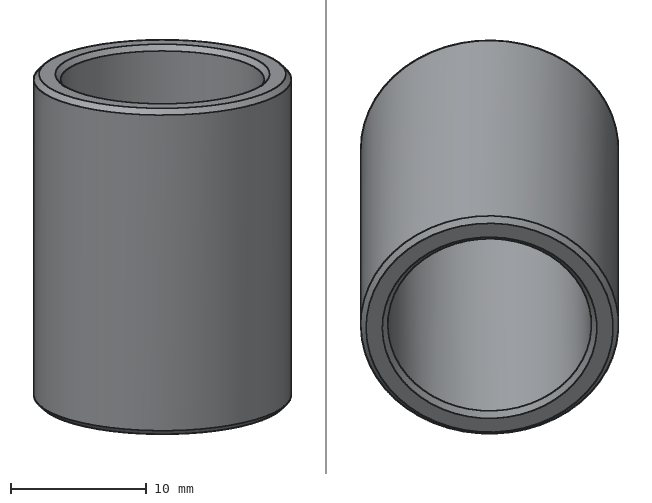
import cadquery as cq

length = 25
outer_diameter = 19
bore_diameter = 15
chamfer = 0.4

sleeve = (
    cq.Workplane("XY")
    .circle(outer_diameter / 2)
    .circle(bore_diameter / 2)
    .extrude(length)
)

result = sleeve.faces("|Z").edges().chamfer(chamfer)